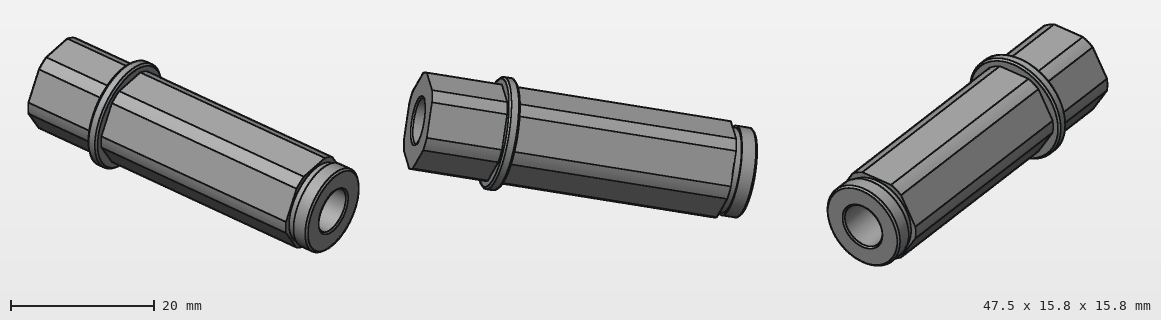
import cadquery as cq
import math

length = 47.5
flange_start = 10.92
flange_width = 1.6
hex_end = 44.2
groove_width = 1.0

across_flats = 12.7
corner_diameter = 13.65
flange_diameter = 15.85
flange_chamfer = 0.3
groove_diameter = 12.0
end_ring_diameter = 12.7
end_ring_chamfer = 0.3
bore_diameter = 6.5
bore_chamfer = 0.25


def cylinder(start, width, diameter):
    """Solid cylinder on the X axis, beginning at x = start."""
    return cq.Workplane("YZ", origin=(start, 0, 0)).circle(diameter / 2).extrude(width)


def hex_body():
    """Hexagonal bar with flats facing +Z and -Z and its corners turned round."""
    across_corners = across_flats / math.cos(math.pi / 6)
    hexagon = cq.Workplane("YZ").polygon(6, across_corners).extrude(hex_end)
    return hexagon.intersect(cylinder(0, hex_end, corner_diameter))


def flange():
    """Round collar with both rims chamfered."""
    return cylinder(flange_start, flange_width, flange_diameter).edges("%CIRCLE").chamfer(flange_chamfer)


def grooved_end():
    """Narrow neck followed by a retaining ring with a chamfered outer rim."""
    ring_start = hex_end + groove_width
    neck = cylinder(hex_end, groove_width, groove_diameter)
    ring = cylinder(ring_start, length - ring_start, end_ring_diameter)
    return neck.union(ring.faces(">X").chamfer(end_ring_chamfer))


body = hex_body().union(flange()).union(grooved_end())
through_hole = cylinder(0, length, bore_diameter)
result = body.cut(through_hole)

bore_mouths = cq.selectors.RadiusNthSelector(0)
result = result.edges(bore_mouths).chamfer(bore_chamfer)